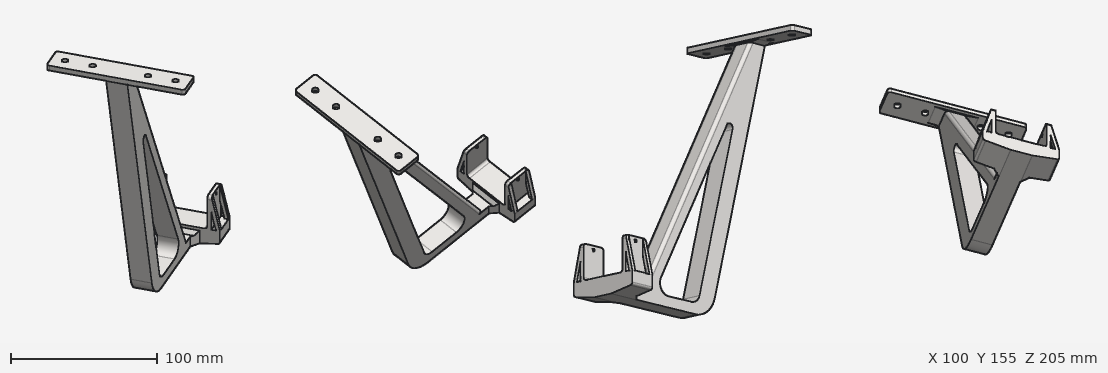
import cadquery as cq
import math

plate_length = 100.0
plate_width = 20.0
plate_thickness = 4.0
plate_corner_radius = 2.0
screw_hole_diameter = 4.5
screw_hole_positions = (-40.0, -20.0, 20.0, 40.0)

overall_height = 205.0
overall_depth = 155.0
back_y = overall_depth - plate_width / 2
plate_bottom_z = overall_height - plate_thickness

foot_height = 1.0
foot_length = 31.0
foot_width = 15.0
frame_top_z = plate_bottom_z - foot_height

frame_thickness = 15.5
bar_height = 8.0
leg_lean = math.radians(15.0)
leg_width = 14.5
brace_lean = math.radians(28.9)
brace_width = 10.0
leg_top_y = -foot_width / 2
brace_top_y = foot_width / 2
heel_radius = 20.0
window_bottom_radius = 8.0
window_top_radius = 3.0
brace_edge_radius = 2.5

cradle_width = 55.0
cradle_depth = 20.0
cradle_floor_z = 13.4
cradle_side_bottom_z = 3.2
cradle_bottom_edge_radius = 2.0
cradle_inner_width = 36.5
cradle_inner_radius = 2.25
arm_thickness = 3.0
arm_top_z = 39.5
arm_corner_radius = 2.5
rib_thickness = 3.0
rib_width = 3.0
pin_hole_diameter = 2.0
pin_hole_drop = 3.0
cradle_front_y = back_y - cradle_depth

neck_side_flare = 5.0
neck_top_flare = 3.0


def leg_y(z, offset=0.0):
    """Y of the leg's outer face, or of a line set inward from it."""
    return leg_top_y + (frame_top_z - z) * math.tan(leg_lean) + offset / math.cos(leg_lean)


def brace_y(z, offset=0.0):
    """Y of the brace's outer face, or of a line set inward from it."""
    return brace_top_y + (frame_top_z - z) * math.tan(brace_lean) - offset / math.cos(brace_lean)


def prism_along_x(points, length):
    """Extrude a (Y, Z) outline symmetrically about X = 0."""
    return cq.Workplane("YZ").polyline(points).close().extrude(length / 2, both=True)


def prism_along_y(points, y_start, length):
    """Extrude an (X, Z) outline from y_start towards +Y."""
    plane = cq.Workplane("XZ", origin=(0, y_start, 0))
    return plane.polyline(points).close().extrude(-length)


def round_x_edge(solid, y, z, radius):
    """Round the edge parallel to X that passes nearest to (y, z)."""
    return solid.edges(cq.selectors.NearestToPointSelector((0, y, z))).fillet(radius)


def make_plate():
    plate = cq.Workplane("XY", origin=(0, 0, plate_bottom_z)).rect(plate_length, plate_width)
    plate = plate.extrude(plate_thickness).edges("|Z").fillet(plate_corner_radius)
    hole_points = [(x, 0) for x in screw_hole_positions]
    return plate.faces(">Z").workplane(origin=(0, 0, 0)).pushPoints(hole_points).hole(screw_hole_diameter)


def make_foot():
    outline = [
        (-foot_length / 2, plate_bottom_z),
        (foot_length / 2, plate_bottom_z),
        (frame_thickness / 2, frame_top_z),
        (-frame_thickness / 2, frame_top_z),
    ]
    return prism_along_y(outline, -foot_width / 2, foot_width)


def make_frame():
    outer = prism_along_x(
        [
            (leg_y(frame_top_z), frame_top_z),
            (brace_y(frame_top_z), frame_top_z),
            (brace_y(0), 0),
            (leg_y(0), 0),
        ],
        frame_thickness,
    )
    outer = round_x_edge(outer, leg_y(0), 0, heel_radius)
    middle_z = frame_top_z / 2
    for side in (-1, 1):
        edge_point = (side * frame_thickness / 2, brace_y(middle_z), middle_z)
        outer = outer.edges(cq.selectors.NearestToPointSelector(edge_point)).fillet(brace_edge_radius)
    return outer.cut(make_window())


def make_window():
    """Triangular opening between leg, brace and bar."""
    gap_at_bar = brace_y(bar_height, brace_width) - leg_y(bar_height, leg_width)
    tip_z = bar_height + gap_at_bar / (math.tan(brace_lean) - math.tan(leg_lean))
    leg_corner_y = leg_y(bar_height, leg_width)
    brace_corner_y = brace_y(bar_height, brace_width)
    tip_y = leg_y(tip_z, leg_width)
    window = prism_along_x(
        [(leg_corner_y, bar_height), (brace_corner_y, bar_height), (tip_y, tip_z)],
        frame_thickness,
    )
    window = round_x_edge(window, leg_corner_y, bar_height, window_bottom_radius)
    window = round_x_edge(window, brace_corner_y, bar_height, window_bottom_radius)
    return round_x_edge(window, tip_y, tip_z, window_top_radius)


def make_bar():
    """Horizontal bar from just past the rounded heel to the cradle."""
    start_y = leg_y(0) + heel_radius
    length = cradle_front_y - start_y
    bar = cq.Workplane("XY").box(frame_thickness, length, bar_height, centered=(True, False, False))
    return bar.translate((0, start_y, 0))


def underside_z(x):
    """Height of the cradle's sloping underside."""
    slope = cradle_side_bottom_z / (cradle_width / 2 - frame_thickness / 2)
    return (abs(x) - frame_thickness / 2) * slope


def make_neck():
    """Flare that widens and deepens the bar where it meets the cradle."""
    half_bar = frame_thickness / 2
    half_root = half_bar + neck_side_flare
    root_top_z = bar_height + neck_top_flare
    section = [
        (-half_root, root_top_z),
        (-half_root, underside_z(half_root)),
        (-half_bar, 0),
        (half_bar, 0),
        (half_root, underside_z(half_root)),
        (half_root, root_top_z),
    ]
    neck = prism_along_y(section, cradle_front_y - neck_side_flare, neck_side_flare)
    plan = cq.Workplane("XY").polyline(
        [
            (-half_root, cradle_front_y),
            (-half_bar, cradle_front_y - neck_side_flare),
            (half_bar, cradle_front_y - neck_side_flare),
            (half_root, cradle_front_y),
        ]
    )
    profile = prism_along_x(
        [
            (cradle_front_y - neck_side_flare, 0),
            (cradle_front_y, 0),
            (cradle_front_y, root_top_z),
            (cradle_front_y - neck_top_flare, bar_height),
            (cradle_front_y - neck_side_flare, bar_height),
        ],
        2 * half_root,
    )
    return neck.intersect(plan.close().extrude(root_top_z)).intersect(profile)


def make_cradle():
    half_width = cradle_width / 2
    half_inner = cradle_inner_width / 2
    half_outer_arm = half_inner + arm_thickness
    right_half = [
        (frame_thickness / 2, 0),
        (half_width, cradle_side_bottom_z),
        (half_width, cradle_floor_z),
        (half_outer_arm, arm_top_z),
        (half_inner, arm_top_z),
        (half_inner, cradle_floor_z),
    ]
    left_half = [(-x, z) for x, z in reversed(right_half)]
    cradle = prism_along_y(right_half + left_half, cradle_front_y, cradle_depth)
    middle_y = cradle_front_y + cradle_depth / 2
    for side in (-1, 1):
        for x, z, radius in (
            (half_inner, cradle_floor_z, cradle_inner_radius),
            (half_width, cradle_side_bottom_z, cradle_bottom_edge_radius),
        ):
            corner = cq.selectors.NearestToPointSelector((side * x, middle_y, z))
            cradle = cradle.edges(corner).fillet(radius)
    cradle = cradle.faces(">Z").edges("|X").fillet(arm_corner_radius)
    for side in (-1, 1):
        cradle = cradle.cut(make_arm_pocket(side)).cut(make_rib_opening(side))
    pin_hole = cq.Workplane("YZ").center(middle_y, arm_top_z - pin_hole_drop)
    return cradle.cut(pin_hole.circle(pin_hole_diameter / 2).extrude(half_width, both=True))


def make_arm_pocket(side):
    """Recess outside one arm, leaving a sloping rib along each edge."""
    inner_x = side * (cradle_inner_width / 2 + arm_thickness)
    outer_x = side * cradle_width / 2
    outline = [
        (inner_x, cradle_floor_z),
        (outer_x, cradle_floor_z),
        (outer_x, arm_top_z),
        (inner_x, arm_top_z),
    ]
    return prism_along_y(outline, cradle_front_y + rib_thickness, cradle_depth - 2 * rib_thickness)


def make_rib_opening(side):
    """Triangular opening through both ribs of one arm."""
    inner_x = cradle_inner_width / 2 + arm_thickness
    outer_x = cradle_width / 2
    rib_slope = (arm_top_z - cradle_floor_z) / (outer_x - inner_x)
    opening_width = outer_x - rib_width - inner_x
    outline = [
        (side * inner_x, cradle_floor_z),
        (side * (inner_x + opening_width), cradle_floor_z),
        (side * inner_x, cradle_floor_z + opening_width * rib_slope),
    ]
    return prism_along_y(outline, cradle_front_y, cradle_depth)


frame = make_frame().union(make_bar())
result = make_plate().union(make_foot()).union(frame).union(make_neck()).union(make_cradle())